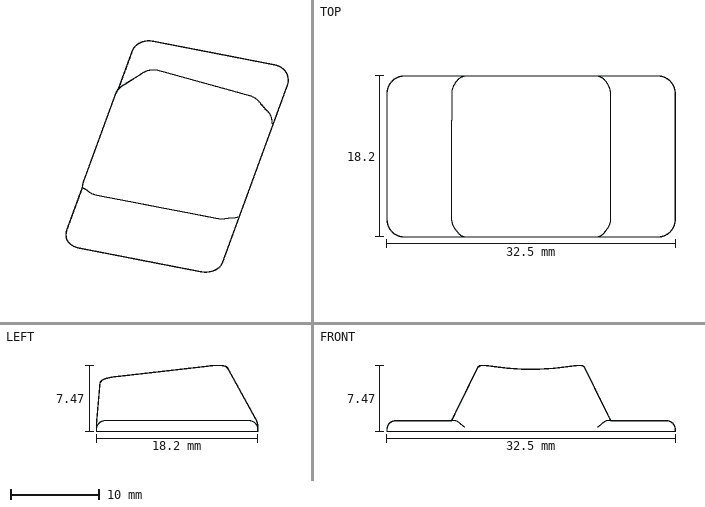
import math

import cadquery as cq

PLATE_LENGTH = 32.45
PLATE_WIDTH = 18.16
PLATE_THICKNESS = 1.25
PLATE_CORNER_RADIUS = 2.0
PLATE_EDGE_RADIUS = 1.0

CAP_SIZE = PLATE_WIDTH
SKIRT_HEIGHT = 1.0
SKIRT_CORNER_RADIUS = 2.0

TOP_WIDTH = 12.24
TOP_FRONT_Y = -5.65
TOP_BACK_Y = 8.68
TOP_MID_HEIGHT = 6.6
TOP_TILT = 6.5
TOP_CORNER_RADIUS = 1.85
TOP_EDGE_RADIUS = 0.45

SHOULDER_REACH = 0.34
SHOULDER_STEPS = 4

DISH_RADIUS = 27.0
DISH_MID_HEIGHT = 6.41

WALL_OVERRUN = 1.3


def make_plate():
    """Flat plate with rounded corners and a rounded top edge."""
    blank = cq.Workplane("XY").box(
        PLATE_LENGTH, PLATE_WIDTH, PLATE_THICKNESS, centered=(True, True, False)
    )
    rounded = blank.edges("|Z").fillet(PLATE_CORNER_RADIUS)
    return rounded.faces(">Z").edges().fillet(PLATE_EDGE_RADIUS)


def cap_section(lean, drop=0.0):
    """Rounded rectangular outline of the cap.

    lean is the fraction of the way from the skirt outline (0) to the rim (1);
    drop lowers the outline below the leaning walls.
    """

    def blend(at_skirt, at_rim):
        return at_skirt + lean * (at_rim - at_skirt)

    half = CAP_SIZE / 2
    slope = math.tan(math.radians(TOP_TILT))
    y_front = blend(-half, TOP_FRONT_Y)
    y_back = blend(half, TOP_BACK_Y)
    z_front = blend(SKIRT_HEIGHT, TOP_MID_HEIGHT - slope * TOP_FRONT_Y) - drop
    z_back = blend(SKIRT_HEIGHT, TOP_MID_HEIGHT - slope * TOP_BACK_Y) - drop

    width = 2 * blend(half, TOP_WIDTH / 2)
    depth = math.hypot(y_back - y_front, z_back - z_front)
    tilt = math.degrees(math.atan2(z_back - z_front, y_back - y_front))
    centre = cq.Vector(0, (y_front + y_back) / 2, (z_front + z_back) / 2)

    flat = cq.Workplane("XY").rect(width, depth).wires().val()
    radius = blend(SKIRT_CORNER_RADIUS, TOP_CORNER_RADIUS)
    rounded = flat.fillet2D(radius, flat.Vertices())
    return rounded.rotate(cq.Vector(), cq.Vector(1, 0, 0), tilt).translate(centre)


def shoulder_section(fraction):
    """Outline part way up the shoulder; a parabola tangent to the skirt and to the walls."""
    full_lean = SHOULDER_REACH / (TOP_MID_HEIGHT - SKIRT_HEIGHT)
    lean = full_lean * fraction**2
    drop = SHOULDER_REACH * (1 - fraction) ** 2
    return cap_section(lean, drop)


def loft_through(sections, ruled):
    return cq.Workplane(cq.Solid.makeLoft(sections, ruled))


def make_untrimmed_cap():
    """Upright skirt, curved shoulder and leaning walls, stacked."""
    steps = range(SHOULDER_STEPS + 1)
    shoulder_sections = [shoulder_section(step / SHOULDER_STEPS) for step in steps]
    ground = cap_section(0, drop=SKIRT_HEIGHT)

    skirt = loft_through([ground, shoulder_sections[0]], ruled=True)
    shoulder = loft_through(shoulder_sections, ruled=False)
    walls = loft_through([shoulder_sections[-1], cap_section(WALL_OVERRUN)], ruled=True)
    return skirt.union(shoulder).union(walls)


def make_dish_cutter():
    """Cylinder along Y, tilted about X so that its lowest line falls towards +Y."""
    cutter_length = 3 * CAP_SIZE
    return (
        cq.Workplane("XZ")
        .workplane(offset=-cutter_length / 2)
        .circle(DISH_RADIUS)
        .extrude(cutter_length)
        .rotate((0, 0, 0), (0, 1, 0), -90)
        .translate((0, 0, DISH_RADIUS))
        .rotate((0, 0, 0), (1, 0, 0), -TOP_TILT)
        .translate((0, 0, DISH_MID_HEIGHT))
    )


def make_cap():
    """Cap trimmed by the dish, with the rim rounded all the way round."""
    cap = make_untrimmed_cap().cut(make_dish_cutter())
    dish_centre = (0, 0, DISH_MID_HEIGHT)
    dish_face = cap.faces(cq.selectors.NearestToPointSelector(dish_centre))
    return dish_face.edges().fillet(TOP_EDGE_RADIUS)


result = make_plate().union(make_cap())